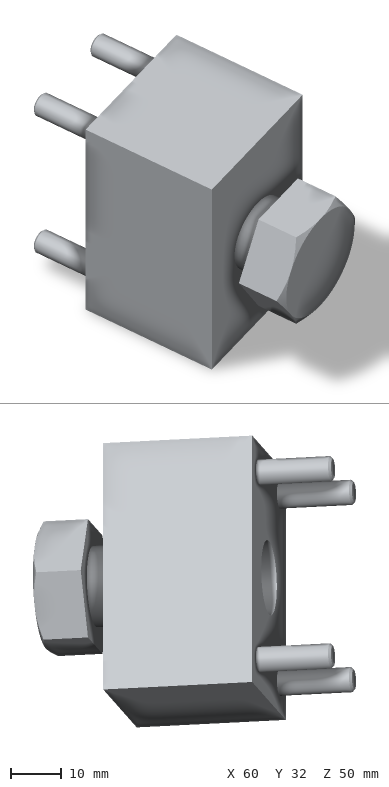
import cadquery as cq
import math

block_length = 30.0
block_width = 32.0
block_height = 50.0

bore_diameter = 14.9
bore_depth = 5.0

pin_diameter = 5.0
pin_length = 15.0
pin_chamfer = 0.5
pin_spacing_y = 20.0
pin_spacing_z = 38.0

overall_length = 60.0
neck_diameter = 16.0
neck_length = 5.0
hex_sides = 6
hex_across_flats = 24.0
hex_chamfer_angle = 30.0

head_length = overall_length - pin_length - block_length - neck_length
hex_across_corners = hex_across_flats / math.cos(math.pi / hex_sides)
corner_overhang = (hex_across_corners - hex_across_flats) / 2
corner_drop = corner_overhang * math.tan(math.radians(hex_chamfer_angle))


def make_block():
    """Rectangular block with a blind round bore in its left face."""
    body = cq.Workplane("YZ").rect(block_width, block_height).extrude(block_length)
    bore = cq.Workplane("YZ").circle(bore_diameter / 2).extrude(bore_depth)
    return body.cut(bore)


def make_pin(y, z):
    """Round pin pointing to -X from the block face, chamfered at its free end."""
    pin = cq.Workplane("YZ").center(y, z).circle(pin_diameter / 2).extrude(-pin_length)
    return pin.faces("<X").chamfer(pin_chamfer)


def make_head():
    """Hexagonal head with corners on +Y and -Y, bevelled on its outer end."""
    head_start = block_length + neck_length
    blank = cq.Workplane("YZ", origin=(head_start, 0, 0))
    hexagon = blank.polygon(hex_sides, hex_across_corners).extrude(head_length)
    envelope = (
        cq.Workplane("XY", origin=(head_start, 0, 0))
        .moveTo(0, 0)
        .lineTo(0, hex_across_corners / 2)
        .lineTo(head_length - corner_drop, hex_across_corners / 2)
        .lineTo(head_length, hex_across_flats / 2)
        .lineTo(head_length, 0)
        .close()
        .revolve(360, (0, 0, 0), (1, 0, 0))
    )
    return hexagon.intersect(envelope)


def make_plug():
    """Plug made of a round neck seated on the block and a hexagonal head."""
    neck = cq.Workplane("YZ", origin=(block_length, 0, 0)).circle(neck_diameter / 2).extrude(neck_length)
    return neck.union(make_head())


block = make_block()
plug = make_plug()

pins = []
for side_y in (-1, 1):
    for side_z in (-1, 1):
        pin = make_pin(side_y * pin_spacing_y / 2, side_z * pin_spacing_z / 2)
        pins.append(pin.val())

result = cq.Compound.makeCompound([block.val(), plug.val(), *pins])